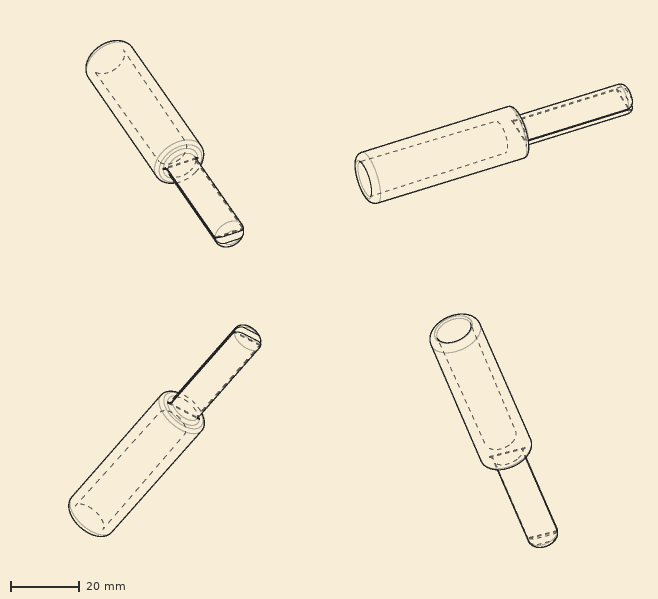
import cadquery as cq

total_length = 85.3
body_mouth_diameter = 15.7
body_shoulder_diameter = 15.95
body_length = 50.0
mouth_round = 2.0
shoulder_round = 1.0
pin_diameter = 9.2
pin_base_fillet = 1.0
pin_tip_round = 2.0
bore_mouth_diameter = 10.7
bore_floor_diameter = 9.7
bore_floor_fillet = 0.4
bore_rim_round = 0.5
bore_depth = 44.35
slot_width = 0.4
notch_depth = 2.0
notch_mouth_width = 2.9

tip_x = total_length / 2
mouth_x = -tip_x
shoulder_x = mouth_x + body_length


def cone(start_x, length, start_diameter, end_diameter):
    """Solid frustum along +X from start_x."""
    profile = cq.Workplane("XY").polyline([
        (start_x, 0),
        (start_x, start_diameter / 2),
        (start_x + length, end_diameter / 2),
        (start_x + length, 0),
    ]).close()
    return profile.revolve(360, (0, 0, 0), (1, 0, 0))


def rounded_body():
    """Body that widens slightly from the mouth to the shoulder."""
    body = cone(mouth_x, body_length, body_mouth_diameter, body_shoulder_diameter)
    body = body.faces("<X").edges().fillet(mouth_round)
    return body.faces(">X").edges().fillet(shoulder_round)


def rounded_pin():
    """Pin with a rounded tip and a concave fillet flaring onto the shoulder."""
    pin_radius = pin_diameter / 2
    fillet_end_x = shoulder_x + pin_base_fillet
    diagonal = pin_base_fillet * (1 - 0.5**0.5)
    profile = (
        cq.Workplane("XY")
        .moveTo(shoulder_x, 0)
        .lineTo(shoulder_x, pin_radius + pin_base_fillet)
        .threePointArc((shoulder_x + diagonal, pin_radius + diagonal), (fillet_end_x, pin_radius))
        .lineTo(tip_x - pin_tip_round, pin_radius)
        .radiusArc((tip_x, pin_radius - pin_tip_round), pin_tip_round)
        .lineTo(tip_x, 0)
        .close()
    )
    return profile.revolve(360, (0, 0, 0), (1, 0, 0))


def tapered_bore():
    """Blind bore that narrows gently inward, with a rounded floor corner."""
    bore = cone(mouth_x, bore_depth, bore_mouth_diameter, bore_floor_diameter)
    return bore.faces(">X").edges().fillet(bore_floor_fillet)


def slot_with_notch():
    """Narrow slit across the pin along Y, opening into a V at the tip."""
    notch_x = tip_x - notch_depth
    half_slot = slot_width / 2
    half_mouth = notch_mouth_width / 2
    profile = cq.Workplane("XZ").polyline([
        (shoulder_x, -half_slot),
        (notch_x, -half_slot),
        (tip_x, -half_mouth),
        (tip_x, half_mouth),
        (notch_x, half_slot),
        (shoulder_x, half_slot),
    ]).close()
    return profile.extrude(body_shoulder_diameter / 2, both=True)


handle = rounded_body().union(rounded_pin()).cut(tapered_bore())
handle = handle.faces("<X").edges(cq.selectors.RadiusNthSelector(0)).fillet(bore_rim_round)
result = handle.cut(slot_with_notch())